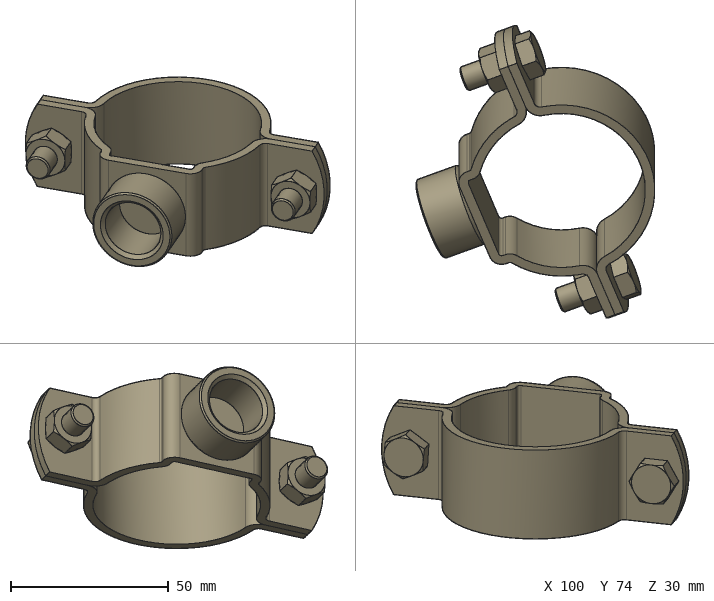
import cadquery as cq
import math


width = 30.0
thickness = 3.0
ring_inner_radius = 26.5
ring_outer_radius = ring_inner_radius + thickness
ear_reach = 50.0
ear_end_radius = 30.0
ear_bend_radius = 2.0

neck_half_width = 14.0
neck_bend_radius = 1.0
seat_face = -ring_outer_radius

bolt_spacing = 82.0
shank_diameter = 8.0
shank_length = 20.0
shank_tip_chamfer = 0.5
hex_across_flats = 13.0
hex_bevel_angle = 30.0
head_height = 5.3
nut_height = 6.5
nut_turn = 30.0
left_head_turn = 0.0
right_head_turn = 33.5

socket_diameter = 26.5
socket_length = 15.0
socket_seat_chamfer = 1.4
socket_rim_chamfer = 0.5
bore_diameter = 18.6
bore_mouth_diameter = 21.0

ear_bend_y = thickness + ear_bend_radius
ear_bend_x = math.sqrt((ring_outer_radius + ear_bend_radius) ** 2 - ear_bend_y ** 2)
ear_bend_angle = math.degrees(math.atan2(ear_bend_y, ear_bend_x))

neck_top_x = neck_half_width + thickness + neck_bend_radius
neck_top_y = -math.sqrt((ring_outer_radius + neck_bend_radius) ** 2 - neck_top_x ** 2)
neck_angle = math.degrees(math.atan2(neck_top_y, neck_top_x))

seat_bend_x = neck_half_width - neck_bend_radius
seat_bend_y = seat_face + thickness + neck_bend_radius

RING = (0, 0)
UPPER_EAR_BEND = (ear_bend_x, ear_bend_y)
LOWER_EAR_BEND = (ear_bend_x, -ear_bend_y)
NECK_TOP_BEND = (neck_top_x, neck_top_y)
SEAT_BEND = (seat_bend_x, seat_bend_y)
tight_ear_radius = ear_bend_radius
wide_ear_radius = ear_bend_radius + thickness
tight_neck_radius = neck_bend_radius
wide_neck_radius = neck_bend_radius + thickness


def arc_point(centre, radius, degrees):
    angle = math.radians(degrees)
    return (centre[0] + radius * math.cos(angle), centre[1] + radius * math.sin(angle))


def add_arc(outline, centre, radius, start, end):
    """Continue the outline, which has reached the start angle, along an arc. Angles are in degrees."""
    middle = arc_point(centre, radius, (start + end) / 2)
    return outline.threePointArc(middle, arc_point(centre, radius, end))


def upper_outline():
    """The +X half of the upper strap, from its ear to the top of the ring."""
    outline = cq.Workplane("XY").moveTo(ear_reach, 0).lineTo(ear_bend_x, 0)
    outline = add_arc(outline, UPPER_EAR_BEND, wide_ear_radius, 270, 180 + ear_bend_angle)
    outline = add_arc(outline, RING, ring_inner_radius, ear_bend_angle, 90)
    outline = outline.lineTo(0, ring_outer_radius)
    outline = add_arc(outline, RING, ring_outer_radius, 90, ear_bend_angle)
    outline = add_arc(outline, UPPER_EAR_BEND, tight_ear_radius, 180 + ear_bend_angle, 270)
    return outline.lineTo(ear_reach, thickness).close()


def lower_outline():
    """The +X half of the lower strap, from its ear to the middle of the seat."""
    outline = cq.Workplane("XY").moveTo(ear_reach, 0).lineTo(ear_bend_x, 0)
    outline = add_arc(outline, LOWER_EAR_BEND, wide_ear_radius, 90, 180 - ear_bend_angle)
    outline = add_arc(outline, RING, ring_inner_radius, -ear_bend_angle, neck_angle)
    outline = add_arc(outline, NECK_TOP_BEND, wide_neck_radius, 180 + neck_angle, 180)
    outline = outline.lineTo(neck_half_width, seat_bend_y)
    outline = add_arc(outline, SEAT_BEND, tight_neck_radius, 0, -90)
    outline = outline.lineTo(0, seat_face + thickness)
    outline = outline.lineTo(0, seat_face)
    outline = outline.lineTo(seat_bend_x, seat_face)
    outline = add_arc(outline, SEAT_BEND, wide_neck_radius, -90, 0)
    outline = outline.lineTo(neck_half_width + thickness, neck_top_y)
    outline = add_arc(outline, NECK_TOP_BEND, tight_neck_radius, 180, 180 + neck_angle)
    outline = add_arc(outline, RING, ring_outer_radius, neck_angle, -ear_bend_angle)
    outline = add_arc(outline, LOWER_EAR_BEND, tight_ear_radius, 180 - ear_bend_angle, 90)
    return outline.lineTo(ear_reach, -thickness).close()


def along_y(start_y):
    """A workplane at the given Y whose extrusions run toward -Y, with local X, Y along X, Z."""
    return cq.Workplane("XZ", origin=(0, start_y, 0))


def ear_trim():
    """A block with the strap's rounded ear ends, taller in Y than either strap half."""
    half_width = width / 2
    corner_x = ear_reach - ear_end_radius + math.sqrt(ear_end_radius ** 2 - half_width ** 2)
    return (
        along_y(0)
        .moveTo(-corner_x, -half_width)
        .lineTo(corner_x, -half_width)
        .threePointArc((ear_reach, 0), (corner_x, half_width))
        .lineTo(-corner_x, half_width)
        .threePointArc((-ear_reach, 0), (-corner_x, -half_width))
        .close()
        .extrude(2 * ring_outer_radius, both=True)
    )


def strap(outline):
    """A whole strap half, mirrored about X = 0, with rounded ears and bolt holes."""
    side = outline.extrude(width / 2, both=True)
    body = side.union(side.mirror("YZ")).intersect(ear_trim())
    holes = (
        along_y(0)
        .pushPoints([(-bolt_spacing / 2, 0), (bolt_spacing / 2, 0)])
        .circle(shank_diameter / 2)
        .extrude(thickness, both=True)
    )
    return body.cut(holes)


def hex_prism(x, start_y, height, turn, bevel_start, bevel_end):
    """A hexagon running toward -Y from start_y, with its corners bevelled by cones at chosen ends."""
    corner_radius = hex_across_flats / 2 / math.cos(math.pi / 6)
    bevel_across = corner_radius - hex_across_flats / 2
    bevel_along = bevel_across * math.tan(math.radians(hex_bevel_angle))
    plane = along_y(start_y).center(x, 0)
    prism = plane.transformed(rotate=(0, 0, turn)).polygon(6, 2 * corner_radius).extrude(height)
    envelope = plane.circle(corner_radius).extrude(height)
    if bevel_start:
        envelope = envelope.faces(">Y").chamfer(bevel_along, bevel_across)
    if bevel_end:
        envelope = envelope.faces("<Y").chamfer(bevel_along, bevel_across)
    return prism.intersect(envelope)


def bolt(x, head_turn):
    head = hex_prism(x, thickness + head_height, head_height, head_turn, True, False)
    shank = (
        along_y(thickness)
        .center(x, 0)
        .circle(shank_diameter / 2)
        .extrude(shank_length)
        .faces("<Y")
        .chamfer(shank_tip_chamfer)
    )
    return head.union(shank)


def nut(x):
    bore = along_y(-thickness).center(x, 0).circle(shank_diameter / 2).extrude(nut_height)
    return hex_prism(x, -thickness, nut_height, nut_turn, True, True).cut(bore)


def socket():
    """A tube standing on the seat, bevelled at the seat, at the rim and at the bore mouth."""
    tube = along_y(seat_face).circle(socket_diameter / 2).extrude(socket_length)
    tube = tube.faces(">Y").chamfer(socket_seat_chamfer)
    tube = tube.faces("<Y").chamfer(socket_rim_chamfer)
    tube = tube.cut(along_y(seat_face).circle(bore_diameter / 2).extrude(socket_length))
    mouth_bevel = (bore_mouth_diameter - bore_diameter) / 2
    return tube.faces("<Y").edges(cq.selectors.RadiusNthSelector(0)).chamfer(mouth_bevel)


bodies = [
    strap(upper_outline()).solids().val(),
    strap(lower_outline()).solids().val(),
    socket().solids().val(),
]
for side, head_turn in ((-1, left_head_turn), (1, right_head_turn)):
    bolt_x = side * bolt_spacing / 2
    bodies.append(bolt(bolt_x, head_turn).solids().val())
    bodies.append(nut(bolt_x).solids().val())

result = cq.Compound.makeCompound(bodies)